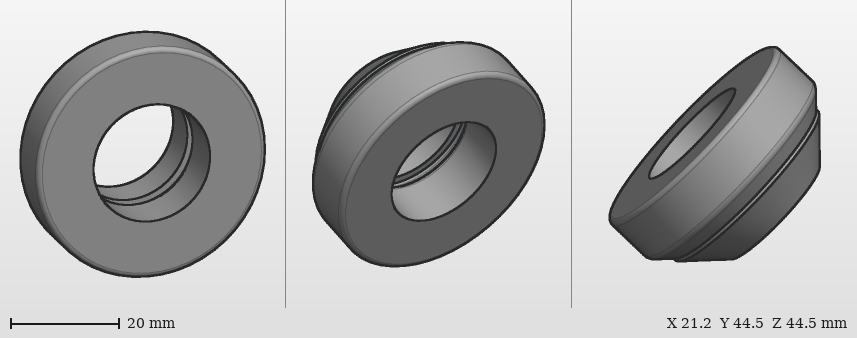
import cadquery as cq
import math

length = 21.23
outer_radius = 22.25
bore_radius = 11.3
step_radius = 18.95
joint_x = 8.4
SIN_45 = math.sqrt(0.5)

lip_round = 0.4
lip_center_radius = bore_radius + lip_round
lip_tangent_x = lip_round * (1 - SIN_45)
lip_tangent_radius = lip_center_radius + lip_round * SIN_45
cone_end = lip_tangent_x + step_radius - lip_tangent_radius

rear_cone_start = 7.88
shoulder_round = 1.82
rear_round = 1.0
mouth_diameter = 24.1
mouth_x = 10.32
mouth_slope = 65
mouth_radius = mouth_diameter / 2
mouth_round = (mouth_radius - bore_radius) / (1 - math.cos(math.radians(mouth_slope)))
half_mouth_length = mouth_round * math.sin(math.radians(mouth_slope))
groove_radius = 2 * mouth_radius - bore_radius
shoulder_tangent_radius = outer_radius - shoulder_round * (1 - SIN_45)
shoulder_tangent_x = rear_cone_start + shoulder_tangent_radius - step_radius
shoulder_end = shoulder_tangent_x + shoulder_round * SIN_45


def add_arc(profile, center, radius, start, end):
    """Add an arc to the (x, radius) profile, between two angles in degrees."""
    def on_circle(degrees):
        angle = math.radians(degrees)
        return (center[0] + radius * math.cos(angle), center[1] + radius * math.sin(angle))

    return profile.threePointArc(on_circle((start + end) / 2), on_circle(end))


def turn(profile):
    """Revolve a closed (x, radius) profile about the X axis."""
    return profile.close().revolve(360, (0, 0, 0), (1, 0, 0))


def make_front_ring():
    profile = (
        cq.Workplane("XY")
        .moveTo(lip_tangent_x, lip_tangent_radius)
        .lineTo(cone_end, step_radius)
        .lineTo(joint_x, step_radius)
        .lineTo(joint_x, bore_radius)
        .lineTo(lip_round, bore_radius)
    )
    profile = add_arc(profile, (lip_round, lip_center_radius), lip_round, 270, 135)
    return turn(profile)


def make_rear_ring():
    profile = (
        cq.Workplane("XY")
        .moveTo(joint_x, step_radius)
        .lineTo(rear_cone_start, step_radius)
        .lineTo(shoulder_tangent_x, shoulder_tangent_radius)
    )
    shoulder_center = (shoulder_end, outer_radius - shoulder_round)
    profile = add_arc(profile, shoulder_center, shoulder_round, 135, 90)
    profile = profile.lineTo(length - rear_round, outer_radius)
    rear_center = (length - rear_round, outer_radius - rear_round)
    profile = add_arc(profile, rear_center, rear_round, 90, 0)
    profile = profile.lineTo(length, bore_radius)
    edge_center = (mouth_x + half_mouth_length, bore_radius + mouth_round)
    profile = profile.lineTo(edge_center[0], bore_radius)
    profile = add_arc(profile, edge_center, mouth_round, 270, 270 - mouth_slope)
    groove_center = (mouth_x - half_mouth_length, groove_radius - mouth_round)
    profile = add_arc(profile, groove_center, mouth_round, 90 - mouth_slope, 90)
    profile = profile.lineTo(joint_x, groove_radius)
    return turn(profile)


front_ring = make_front_ring()
rear_ring = make_rear_ring()

result = cq.Compound.makeCompound([front_ring.val(), rear_ring.val()])